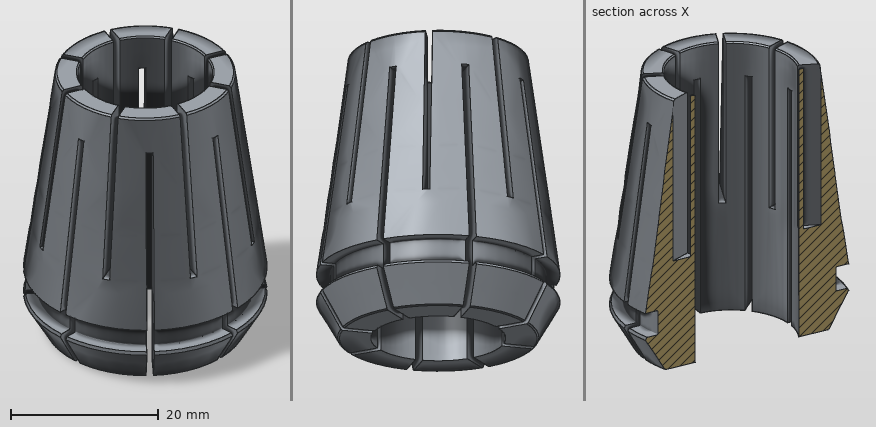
import cadquery as cq
import math

height = 40.0
max_radius = 16.5
bore_radius = 9.13

flange_cone_angle = 30.0
flange_rim_z = 5.15
flange_top_z = 5.55
flange_bevel = 0.25
bottom_bevel = 0.15

groove_radius = 14.6
groove_top_z = 9.1
groove_corner_radius = 0.15

cone_half_angle = 8.0
top_bevel = 0.25
bore_bevel = 0.2

slot_width = 1.0
slots_per_end = 8
lower_slot_end_z = 35.0
upper_slot_end_z = 16.0
slot_overrun = 1.0

slot_pitch = 360.0 / slots_per_end
flange_slope = math.tan(math.radians(flange_cone_angle))
flange_bottom_radius = max_radius - flange_rim_z * flange_slope


def cone_radius(z):
    """Radius of the clamping cone at height z."""
    return max_radius - (z - groove_top_z) * math.tan(math.radians(cone_half_angle))


def make_body():
    """Revolve the wall section about the Z axis."""
    bevel_z = height - top_bevel
    corner_r = groove_radius + groove_corner_radius
    corner_mid = groove_corner_radius * (1 - math.cos(math.radians(45)))
    section = (
        cq.Workplane("XZ")
        .moveTo(bore_radius, 0)
        .lineTo(flange_bottom_radius - bottom_bevel, 0)
        .lineTo(flange_bottom_radius + bottom_bevel * flange_slope, bottom_bevel)
        .lineTo(max_radius, flange_rim_z)
        .lineTo(max_radius - flange_bevel, flange_top_z)
        .lineTo(corner_r, flange_top_z)
        .threePointArc(
            (groove_radius + corner_mid, flange_top_z + corner_mid),
            (groove_radius, flange_top_z + groove_corner_radius),
        )
        .lineTo(groove_radius, groove_top_z - groove_corner_radius)
        .threePointArc(
            (groove_radius + corner_mid, groove_top_z - corner_mid),
            (corner_r, groove_top_z),
        )
        .lineTo(max_radius, groove_top_z)
        .lineTo(cone_radius(bevel_z), bevel_z)
        .lineTo(cone_radius(bevel_z) - top_bevel, height)
        .lineTo(bore_radius + bore_bevel, height)
        .lineTo(bore_radius, height - bore_bevel)
        .close()
    )
    return section.revolve(360, (0, 0), (0, 1))


def cut_slots(body, start_z, end_z, first_angle):
    """Cut evenly spaced radial slots through the wall between two heights."""
    blade = cq.Workplane("XY").box(
        max_radius + slot_overrun, slot_width, end_z - start_z, centered=(False, True, False)
    )
    blade = blade.translate((0, 0, start_z))
    for index in range(slots_per_end):
        angle = first_angle + index * slot_pitch
        body = body.cut(blade.rotate((0, 0, 0), (0, 0, 1), angle))
    return body


result = make_body()
result = cut_slots(result, 0, lower_slot_end_z, 0)
result = cut_slots(result, upper_slot_end_z, height, slot_pitch / 2)